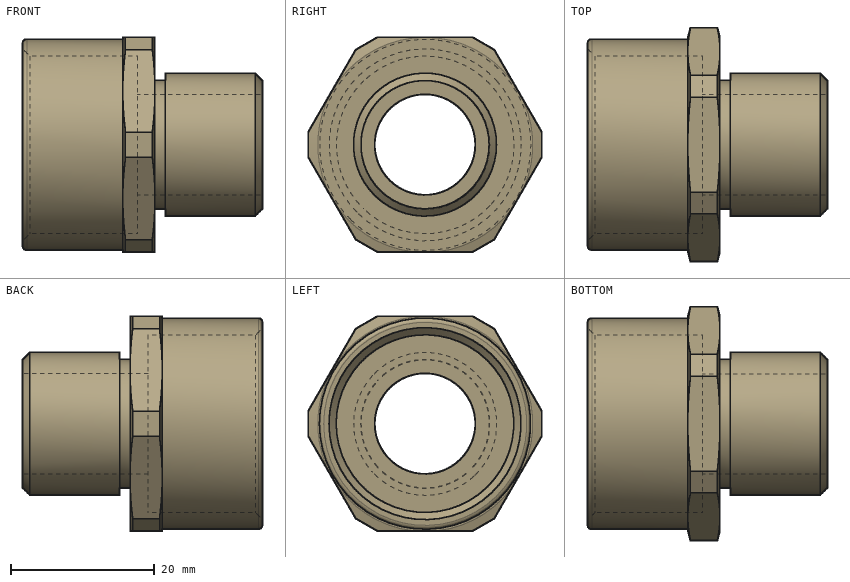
import cadquery as cq
import math

total_length = 33.5
hex_start = 14.0
hex_end = 18.5
neck_end = 19.93

socket_radius = 14.75
neck_radius = 9.0
spigot_radius = 9.98
hex_across_flats = 30.0
hex_across_corner_flats = 32.63

socket_bore_radius = 12.4
mouth_radius = 13.4
through_hole_radius = 7.0
socket_depth = 16.0

mouth_round = 0.57
mouth_chamfer_angle = 45.0
spigot_chamfer = 1.05
hex_bevel_angle = 15.0


def tan_degrees(angle):
    return math.tan(math.radians(angle))


def disc(radius, start, end):
    """Cylinder along X between two stations."""
    return cq.Workplane("YZ", origin=(start, 0, 0)).circle(radius).extrude(end - start)


def hex_prism(across_flats, turn):
    """Hexagonal prism along X; with no turn its corners lie on the Y axis."""
    across_corners = across_flats / math.cos(math.radians(30))
    prism = (
        cq.Workplane("YZ", origin=(hex_start, 0, 0))
        .polygon(6, across_corners)
        .extrude(hex_end - hex_start)
    )
    return prism.rotate((0, 0, 0), (1, 0, 0), turn)


def bevel_envelope():
    """Turned shape whose shallow cones bevel the corners on both hexagon faces."""
    face_radius = hex_across_flats / 2
    outer_radius = hex_across_flats / math.sqrt(3)
    bevel_depth = (outer_radius - face_radius) * tan_degrees(hex_bevel_angle)
    profile = [
        (hex_start, 0),
        (hex_start, face_radius),
        (hex_start + bevel_depth, outer_radius),
        (hex_end - bevel_depth, outer_radius),
        (hex_end, face_radius),
        (hex_end, 0),
    ]
    return cq.Workplane("XY").polyline(profile).close().revolve(360, (0, 0, 0), (1, 0, 0))


def hexagon_flange():
    """Hexagon with its six corners cut flat and its face edges bevelled."""
    flats = hex_prism(hex_across_flats, 0)
    corner_flats = hex_prism(hex_across_corner_flats, 30)
    return flats.intersect(corner_flats).intersect(bevel_envelope())


def socket_cavity():
    """Blind bore with a conical lead-in at the mouth."""
    lead_in = (mouth_radius - socket_bore_radius) / tan_degrees(mouth_chamfer_angle)
    profile = [
        (0, 0),
        (0, mouth_radius),
        (lead_in, socket_bore_radius),
        (socket_depth, socket_bore_radius),
        (socket_depth, 0),
    ]
    return cq.Workplane("XY").polyline(profile).close().revolve(360, (0, 0, 0), (1, 0, 0))


socket = disc(socket_radius, 0, hex_start).faces("<X").edges().fillet(mouth_round)
neck = disc(neck_radius, hex_end, neck_end)
spigot = disc(spigot_radius, neck_end, total_length).faces(">X").edges().chamfer(spigot_chamfer)
through_hole = disc(through_hole_radius, 0, total_length)

body = socket.union(hexagon_flange()).union(neck).union(spigot)
result = body.cut(socket_cavity()).cut(through_hole)